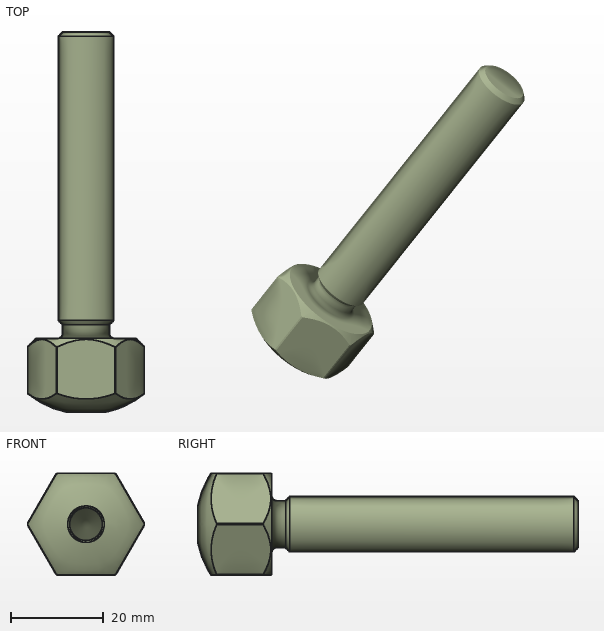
import cadquery as cq
import math

total_length = 82.0

across_flats = 22.0
corner_radius = 12.59
head_height = 16.0
dome_radius = 20.0
underside_radius = 10.75
underside_chamfer = corner_radius - underside_radius

shank_radius = 12.0 / 2
neck_radius = 10.2 / 2
neck_end = 18.95
neck_fillet = 1.0
tip_chamfer = 1.0

hole_radius = 7.05 / 2
rim_radius = 7.9 / 2
rim_chamfer = rim_radius - hole_radius
hole_depth = 12.3
drill_point_angle = 118.0


def dome_y(radius):
    """Y of the dome at a radius; the hole rim lies at Y = 0."""
    rim_height = math.sqrt(dome_radius**2 - rim_radius**2)
    return rim_height - math.sqrt(dome_radius**2 - radius**2)


def make_head():
    """Hexagonal prism intersected with its turned profile."""
    hexagon_diameter = across_flats / math.cos(math.radians(30))
    dome_top = dome_y(0)
    prism = (
        cq.Workplane("XZ", origin=(0, dome_top, 0))
        .polygon(6, hexagon_diameter)
        .extrude(dome_top - head_height)
    )
    turned = (
        cq.Workplane("XY")
        .moveTo(0, dome_top)
        .threePointArc((corner_radius / 2, dome_y(corner_radius / 2)), (corner_radius, dome_y(corner_radius)))
        .lineTo(corner_radius, head_height - underside_chamfer)
        .lineTo(underside_radius, head_height)
        .lineTo(0, head_height)
        .close()
        .revolve(360, (0, 0), (0, 1))
    )
    return prism.intersect(turned)


def make_shank():
    """Shank with a chamfered tip and an undercut rounded into the head."""
    arc_offset = neck_fillet * (1 - math.sqrt(0.5))
    overlap = 0.8
    return (
        cq.Workplane("XY")
        .moveTo(0, head_height - overlap)
        .lineTo(neck_radius + neck_fillet, head_height - overlap)
        .lineTo(neck_radius + neck_fillet, head_height)
        .threePointArc(
            (neck_radius + arc_offset, head_height + arc_offset),
            (neck_radius, head_height + neck_fillet),
        )
        .lineTo(neck_radius, neck_end)
        .lineTo(shank_radius, neck_end + shank_radius - neck_radius)
        .lineTo(shank_radius, total_length - tip_chamfer)
        .lineTo(shank_radius - tip_chamfer, total_length)
        .lineTo(0, total_length)
        .close()
        .revolve(360, (0, 0), (0, 1))
    )


def make_hole():
    """Drilled blind hole with a chamfered rim and a conical bottom."""
    point_length = hole_radius / math.tan(math.radians(drill_point_angle / 2))
    return (
        cq.Workplane("XY")
        .moveTo(0, dome_y(0))
        .lineTo(rim_radius, dome_y(0))
        .lineTo(rim_radius, 0)
        .lineTo(hole_radius, rim_chamfer)
        .lineTo(hole_radius, hole_depth)
        .lineTo(0, hole_depth + point_length)
        .close()
        .revolve(360, (0, 0), (0, 1))
    )


result = make_head().union(make_shank()).cut(make_hole())